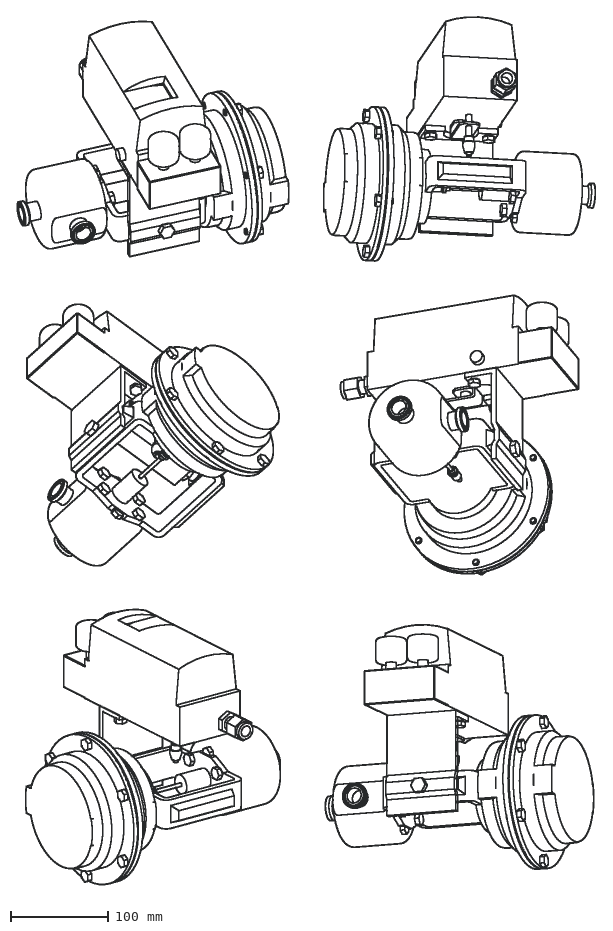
import cadquery as cq
import math


FLANGE_R = 79.3
FLANGE_BACK_Y = 5.1
FLANGE_FRONT_Y = -6.2
PARTING_GAP = 1.0
PARTING_DEPTH = 2.7
CASE_R = 61.7
CASE_END_R = 55.2
CASE_BACK_Y = 40.5
CASE_FRONT_Y = -41.2
CASE_CONE = 6.8
CASE_END_LENGTH = 13.3
CASE_LIP_LENGTH = 2.7
CASE_LIP_DROP = 0.8
PAD_HALF_Z = 15.0
PAD_RIGHT_X = 61.5
NECK_R = 38.2
NECK_FRONT_Y = -54.2

BOLT_COUNT = 6
BOLT_CIRCLE_R = 72.8
NUT_CORNER_R = 6.5
NUT_HEIGHT = 5.0
STUD_R = 3.2
STUD_LENGTH = 2.0
STUD_CHAMFER = 0.8

YOKE_X = (-60.0, 59.8)
YOKE_Y = (-149.7, -47.7)
YOKE_HALF_Z = 16.0
YOKE_WALL = 6.5
YOKE_CORNER_R = 8.5
YOKE_INNER_R = 3.2
RIB_BASE_Y = (-133.8, -55.8)
RIB_BASE_HALF_Z = 9.5
RIB_TAPER = 3.8
RIB_LEFT_HEIGHT = 9.0

STEM_START_Y = NECK_FRONT_Y
STEM_STEPS = [(2.5, -61.7), (4.5, -71.0), (3.5, -72.8), (5.1, -75.5), (3.0, -80.0), (2.0, -112.5),
              (10.5, -149.7)]
BONNET_FLANGE_HALF_X = 32.0
BONNET_FLANGE_HALF_Z = 26.0
BONNET_FLANGE_FLAT_HALF_X = 10.5
BONNET_FLANGE_BACK_Y = -143.2
BONNET_BOLT_X = 24.0
BONNET_BOLT_Z = 13.5
BONNET_BOLT_BACK_Y = -138.4
BODY_BOLT_Z = 26.5
BODY_BOLT_BACK_Y = -144.9
BONNET_HEX_R = 6.8

BODY_R = 42.0
BODY_Y = (-212.0, -149.7)
BODY_FILLET = 6.2
BODY_FLAT_X = 38.7
PORT_TUBE_R = 9.5
PORT_BORE_R = 7.9
PORT_RIM_R = 12.7
PORT_RIM_LENGTH = 4.0
PORT_RIM_TAPER = 2.2
RIM_GROOVE_R = (10.3, 11.0)
RIM_GROOVE_DEPTH = 0.8
OUTLET_LENGTH = 18.1
INLET_LENGTH = 15.0
INLET_Y = -181.7

HOUSING_X = (-70.0, 96.0)
HOUSING_Y = (-137.0, -60.0)
HOUSING_Z = (77.2, 120.8)
COVER_X = (-63.4, 89.5)
COVER_TOP_Y = (-132.7, -63.5)
COVER_EAVE_Z = 159.7
COVER_PEAK_Z = 166.2
WINDOW_X = (38.5, 69.5)
WINDOW_BACK_Y = -88.5
WINDOW_FLARE = 3.5
WINDOW_DIP = 2.5
WINDOW_DIP_FRONT_Y = -103.2
BUTTON_R = 6.5
BUTTON_X = 52.3
BUTTON_Z = 90.7
BUTTON_LENGTH = 6.5

BLOCK_X_END = 133.8
BLOCK_Y = (-138.5, -60.0)
BLOCK_TOP_Z = 113.0
BLOCK_CHAMFER = 0.8
GAUGE_CENTRES = [(113.5, -81.2), (114.3, -116.2)]
GAUGE_R = 16.0
GAUGE_Z = (123.0, 148.5)
GAUGE_FILLET = 3.5
GAUGE_STEM_R = 5.5

GLAND_Y = -120.2
GLAND_Z = 90.5
GLAND_HEX_R = 12.0
GLAND_NECK_R = 7.3
GLAND_TUBE_R = 9.0
GLAND_BORE_R = 5.7
GLAND_LOCKNUT_LENGTH = 5.7
GLAND_NECK_LENGTH = 7.9
GLAND_NUT_LENGTH = 15.2
GLAND_TUBE_LENGTH = 4.0
GLAND_BORE_DEPTH = 16.2

BRACKET_X = (37.5, 72.3)
BRACKET_Y = (-137.8, -61.5)
BRACKET_BOTTOM_Z = -28.0
BRACKET_WALL = 5.7
JOG_STEP = 3.2
JOG_HALF_Z = 6.2
JOG_TOP_Z = 14.0
JOG_BOTTOM_Z = -11.5
BRACKET_BOLT_R = 8.0
BRACKET_BOLT_HEIGHT = 5.7
NOTCH_HALF_WIDTH = 17.3
NOTCH_DEPTH = 24.5
PLATE_BOLT_X = 45.0
PLATE_BOLT_Y = (-129.5, -68.5)
PLATE_BOLT_R = 6.5
PLATE_BOLT_TURN = 20
PLATE_BOLT_WASHER_R = 4.3
PLATE_BOLT_WASHER_HEIGHT = 1.4
PLATE_BOLT_HEAD_HEIGHT = 4.5

LEVER_Y = -97.7
LEVER_HALF_WIDTH = 10.3
LEVER_X = (-20.3, 37.5)
LEVER_TOP_LEG_X = 11.6
LEVER_BOTTOM_Z = 63.5
LEVER_WALL = 2.5
LEVER_BEND_R = 3.0
LEVER_END_CHAMFER = 4.0
LEVER_POST_X = 23.3
LEVER_POST_R = 5.1
PIN_X = -11.5
PIN_TOP_Z = 75.8
PIN_OUTLINE = [(3.0, PIN_TOP_Z), (3.0, 52.3), (5.0, 52.3), (5.0, 46.5), (6.2, 46.5), (6.2, 42.2),
               (4.3, 35.5), (2.5, 35.5), (2.5, 32.5)]


def box(x_range, y_range, z_range):
    size = [high - low for low, high in (x_range, y_range, z_range)]
    corner = (x_range[0], y_range[0], z_range[0])
    return cq.Workplane("XY").box(*size, centered=False).translate(corner)


def cylinder_y(radius, y_range, x=0, z=0):
    low, high = y_range
    return cq.Workplane("XZ", origin=(x, low, z)).circle(radius).extrude(low - high)


def hexagon(corner_radius, first_corner=90):
    """Corners of a hexagon; first_corner is the angle of one corner, in degrees."""
    angles = [math.radians(first_corner + 60 * i) for i in range(6)]
    return [(corner_radius * math.cos(a), corner_radius * math.sin(a)) for a in angles]


def hex_y(corner_radius, y_range, x=0, z=0, first_corner=90):
    low, high = y_range
    outline = cq.Workplane("XZ", origin=(x, low, z))
    return outline.polyline(hexagon(corner_radius, first_corner)).close().extrude(low - high)


def turned_about_y(outline):
    """Solid of revolution about the Y axis from (radius, y) points."""
    points = [(0, outline[0][1])] + outline + [(0, outline[-1][1])]
    return cq.Workplane("XY").polyline(points).close().revolve(360, (0, 0, 0), (0, 1, 0))


def make_actuator():
    half_gap = PARTING_GAP / 2
    back_cone_y = CASE_BACK_Y - CASE_END_LENGTH
    front_cone_y = CASE_FRONT_Y + CASE_END_LENGTH
    lip_r = CASE_END_R - CASE_LIP_DROP
    outline = [
        (lip_r, CASE_BACK_Y),
        (CASE_END_R, CASE_BACK_Y - CASE_LIP_LENGTH),
        (CASE_END_R, back_cone_y),
        (CASE_R, back_cone_y - CASE_CONE),
        (CASE_R, FLANGE_BACK_Y),
        (FLANGE_R, FLANGE_BACK_Y),
        (FLANGE_R, half_gap),
        (FLANGE_R - PARTING_DEPTH, half_gap),
        (FLANGE_R - PARTING_DEPTH, -half_gap),
        (FLANGE_R, -half_gap),
        (FLANGE_R, FLANGE_FRONT_Y),
        (CASE_R, FLANGE_FRONT_Y),
        (CASE_R, front_cone_y + CASE_CONE),
        (CASE_END_R, front_cone_y),
        (CASE_END_R, CASE_FRONT_Y + CASE_LIP_LENGTH),
        (lip_r, CASE_FRONT_Y),
        (NECK_R, CASE_FRONT_Y),
        (NECK_R, NECK_FRONT_Y),
    ]
    actuator = turned_about_y(outline)
    case_y = (CASE_FRONT_Y, CASE_BACK_Y)
    for x_range, radius in (((-CASE_END_R, 0), CASE_END_R), ((0, PAD_RIGHT_X), CASE_R)):
        pad = box(x_range, case_y, (-PAD_HALF_Z, PAD_HALF_Z))
        actuator = actuator.union(pad.intersect(cylinder_y(radius, case_y)))
    for i in range(BOLT_COUNT):
        angle = math.radians(90 + i * 360 / BOLT_COUNT)
        x = BOLT_CIRCLE_R * math.cos(angle)
        z = BOLT_CIRCLE_R * math.sin(angle)
        nut = hex_y(NUT_CORNER_R, (FLANGE_BACK_Y, FLANGE_BACK_Y + NUT_HEIGHT), x, z)
        stud = cylinder_y(STUD_R, (FLANGE_FRONT_Y - STUD_LENGTH, FLANGE_FRONT_Y), x, z)
        stud = stud.faces("<Y").chamfer(STUD_CHAMFER)
        actuator = actuator.union(nut).union(stud)
    return actuator


def make_rib(base_x, tip_x):
    """Tapered rib standing on a yoke side."""
    base_length = RIB_BASE_Y[1] - RIB_BASE_Y[0]
    mid_y = sum(RIB_BASE_Y) / 2
    return (
        cq.Workplane("YZ", origin=(base_x, mid_y, 0))
        .rect(base_length, 2 * RIB_BASE_HALF_Z)
        .workplane(offset=tip_x - base_x)
        .rect(base_length - 2 * RIB_TAPER, 2 * (RIB_BASE_HALF_Z - RIB_TAPER))
        .loft(ruled=True)
    )


def make_yoke():
    z_range = (-YOKE_HALF_Z, YOKE_HALF_Z)
    outer = box(YOKE_X, YOKE_Y, z_range).edges("|Z").fillet(YOKE_CORNER_R)
    inner_x = (YOKE_X[0] + YOKE_WALL, YOKE_X[1] - YOKE_WALL)
    inner_y = (YOKE_Y[0] + YOKE_WALL, YOKE_Y[1] - YOKE_WALL)
    inner = box(inner_x, inner_y, z_range).edges("|Z").fillet(YOKE_INNER_R)
    yoke = outer.cut(inner)
    left_rib = make_rib(YOKE_X[0], YOKE_X[0] - RIB_LEFT_HEIGHT)
    right_rib = make_rib(YOKE_X[1], BRACKET_X[1] - BRACKET_WALL + JOG_STEP)
    return yoke.union(left_rib).union(right_rib)


def make_stem_and_bonnet():
    outline = []
    start_y = STEM_START_Y
    for radius, end_y in STEM_STEPS:
        outline += [(radius, start_y), (radius, end_y)]
        start_y = end_y
    bonnet = turned_about_y(outline)

    corner_x, corner_z = BONNET_FLANGE_HALF_X, YOKE_HALF_Z
    flat_x, flat_z = BONNET_FLANGE_FLAT_HALF_X, BONNET_FLANGE_HALF_Z
    upper = [(corner_x, corner_z), (flat_x, flat_z), (-flat_x, flat_z), (-corner_x, corner_z)]
    lower = [(-x, -z) for x, z in upper]
    flange = cq.Workplane("XZ", origin=(0, BODY_Y[1], 0)).polyline(upper + lower).close()
    flange = flange.extrude(BODY_Y[1] - BONNET_FLANGE_BACK_Y)
    bonnet = bonnet.union(flange)
    bolt_y = (BONNET_FLANGE_BACK_Y, BONNET_BOLT_BACK_Y)
    for side in (-1, 1):
        bonnet = bonnet.union(
            hex_y(BONNET_HEX_R, (BODY_Y[1], BODY_BOLT_BACK_Y), 0, side * BODY_BOLT_Z)
        )
        for x in (-BONNET_BOLT_X, BONNET_BOLT_X):
            bonnet = bonnet.union(
                hex_y(BONNET_HEX_R, bolt_y, x, side * BONNET_BOLT_Z, first_corner=0)
            )
    return bonnet


def make_port(length):
    """Tube with a clamp rim, from Y = 0 to Y = -length."""
    rim_start = PORT_RIM_LENGTH - length
    outline = [
        (PORT_TUBE_R, 0),
        (PORT_TUBE_R, rim_start + PORT_RIM_TAPER),
        (PORT_RIM_R, rim_start),
        (PORT_RIM_R, -length),
    ]
    groove_y = (-length, RIM_GROOVE_DEPTH - length)
    groove = cylinder_y(RIM_GROOVE_R[1], groove_y).cut(cylinder_y(RIM_GROOVE_R[0], groove_y))
    bore = cylinder_y(PORT_BORE_R, (-length, 0))
    return turned_about_y(outline).cut(groove).cut(bore)


def make_valve_body():
    body = cylinder_y(BODY_R, BODY_Y).edges().fillet(BODY_FILLET)
    body = body.cut(box((BODY_FLAT_X, BODY_R), BODY_Y, (-BODY_R, BODY_R)))
    outlet = make_port(OUTLET_LENGTH).translate((0, BODY_Y[0], 0))
    inlet = make_port(INLET_LENGTH).rotate((0, 0, 0), (0, 0, 1), 90)
    return body.union(outlet).union(inlet.translate((BODY_FLAT_X, INLET_Y, 0)))


def make_housing():
    housing = box(HOUSING_X, HOUSING_Y, HOUSING_Z)
    cover = (
        cq.Workplane("YZ", origin=(COVER_X[0], 0, 0))
        .moveTo(HOUSING_Y[0], HOUSING_Z[1])
        .lineTo(COVER_TOP_Y[0], COVER_EAVE_Z)
        .threePointArc((sum(COVER_TOP_Y) / 2, COVER_PEAK_Z), (COVER_TOP_Y[1], COVER_EAVE_Z))
        .lineTo(HOUSING_Y[1], HOUSING_Z[1])
        .close()
        .extrude(COVER_X[1] - COVER_X[0])
    )
    width = WINDOW_X[1] - WINDOW_X[0]
    depth = WINDOW_BACK_Y - HOUSING_Y[0]
    mid_y = WINDOW_BACK_Y - depth / 2
    window = (
        cq.Workplane("XY", origin=(sum(WINDOW_X) / 2, mid_y, COVER_EAVE_Z))
        .rect(width, depth)
        .workplane(offset=COVER_PEAK_Z - COVER_EAVE_Z)
        .rect(width + 2 * WINDOW_FLARE, depth + 2 * WINDOW_FLARE)
        .loft(ruled=True)
    )
    dip = (
        cq.Workplane("YZ", origin=(WINDOW_X[0], 0, 0))
        .moveTo(WINDOW_DIP_FRONT_Y, COVER_EAVE_Z)
        .lineTo(WINDOW_BACK_Y, COVER_EAVE_Z)
        .lineTo(WINDOW_BACK_Y, COVER_EAVE_Z - WINDOW_DIP)
        .close()
        .extrude(width)
    )
    cover = cover.cut(window).cut(dip)
    button = cylinder_y(BUTTON_R, (HOUSING_Y[0] - BUTTON_LENGTH, HOUSING_Y[0]), BUTTON_X, BUTTON_Z)
    return housing.union(cover).union(button)


def make_gauge_block():
    block = box((HOUSING_X[1], BLOCK_X_END), BLOCK_Y, (HOUSING_Z[0], BLOCK_TOP_Z))
    block = block.edges("(not <X) or (<X and <Y)").chamfer(BLOCK_CHAMFER)
    for x, y in GAUGE_CENTRES:
        stem = cq.Workplane("XY", origin=(x, y, BLOCK_TOP_Z)).circle(GAUGE_STEM_R)
        stem = stem.extrude(GAUGE_Z[0] - BLOCK_TOP_Z)
        dial = cq.Workplane("XY", origin=(x, y, GAUGE_Z[0])).circle(GAUGE_R)
        dial = dial.extrude(GAUGE_Z[1] - GAUGE_Z[0]).edges().fillet(GAUGE_FILLET)
        block = block.union(stem).union(dial)
    return block


def make_gland():
    gland = cq.Workplane("YZ", origin=(HOUSING_X[0], GLAND_Y, GLAND_Z))
    gland = gland.polyline(hexagon(GLAND_HEX_R)).close().extrude(-GLAND_LOCKNUT_LENGTH)
    gland = gland.faces("<X").workplane().circle(GLAND_NECK_R).extrude(GLAND_NECK_LENGTH)
    gland = gland.faces("<X").workplane().polyline(hexagon(GLAND_HEX_R)).close()
    gland = gland.extrude(GLAND_NUT_LENGTH)
    gland = gland.faces("<X").workplane().circle(GLAND_TUBE_R).extrude(GLAND_TUBE_LENGTH)
    return gland.faces("<X").workplane().circle(GLAND_BORE_R).cutBlind(-GLAND_BORE_DEPTH)


def make_bracket():
    top_z = HOUSING_Z[0]
    outer_x = BRACKET_X[1]
    inner_x = outer_x - BRACKET_WALL
    jog = [(0, JOG_BOTTOM_Z), (JOG_STEP, -JOG_HALF_Z), (JOG_STEP, JOG_HALF_Z), (0, JOG_TOP_Z)]
    outline = [(BRACKET_X[0], top_z), (outer_x, top_z)]
    outline += [(outer_x + step, z) for step, z in reversed(jog)]
    outline += [(outer_x, BRACKET_BOTTOM_Z), (inner_x, BRACKET_BOTTOM_Z)]
    outline += [(inner_x + step, z) for step, z in jog]
    outline += [(inner_x, top_z - BRACKET_WALL), (BRACKET_X[0], top_z - BRACKET_WALL)]
    bracket = cq.Workplane("XZ", origin=(0, BRACKET_Y[0], 0)).polyline(outline).close()
    bracket = bracket.extrude(BRACKET_Y[0] - BRACKET_Y[1])

    mid_y = sum(BRACKET_Y) / 2
    straight = NOTCH_DEPTH - NOTCH_HALF_WIDTH
    notch_z = (top_z - BRACKET_WALL, top_z)
    notch = box(
        (BRACKET_X[0], BRACKET_X[0] + straight),
        (mid_y - NOTCH_HALF_WIDTH, mid_y + NOTCH_HALF_WIDTH),
        notch_z,
    )
    notch_end = cq.Workplane("XY", origin=(BRACKET_X[0] + straight, mid_y, notch_z[0]))
    notch_end = notch_end.circle(NOTCH_HALF_WIDTH).extrude(BRACKET_WALL)
    bracket = bracket.cut(notch).cut(notch_end)

    side_bolt = cq.Workplane("YZ", origin=(outer_x + JOG_STEP, mid_y, 0))
    side_bolt = side_bolt.polyline(hexagon(BRACKET_BOLT_R, first_corner=0)).close()
    side_bolt = side_bolt.extrude(BRACKET_BOLT_HEIGHT)
    bracket = bracket.union(side_bolt)
    for y in PLATE_BOLT_Y:
        washer = cq.Workplane("XY", origin=(PLATE_BOLT_X, y, notch_z[0]))
        washer = washer.circle(PLATE_BOLT_WASHER_R).extrude(-PLATE_BOLT_WASHER_HEIGHT)
        head = washer.faces("<Z").workplane(centerOption="CenterOfMass")
        head = head.polyline(hexagon(PLATE_BOLT_R, PLATE_BOLT_TURN)).close()
        head = head.extrude(PLATE_BOLT_HEAD_HEIGHT)
        bracket = bracket.union(head)
    return bracket


def make_lever():
    """Strip bent into a U that hangs from the housing, with a post and the feedback pin."""
    y_range = (LEVER_Y - LEVER_HALF_WIDTH, LEVER_Y + LEVER_HALF_WIDTH)
    top_z = HOUSING_Z[0]
    lever = box(LEVER_X, y_range, (LEVER_BOTTOM_Z, top_z)).edges("|Y and >X").fillet(LEVER_BEND_R)
    gap_z = (LEVER_BOTTOM_Z + LEVER_WALL, top_z - LEVER_WALL)
    gap = box((LEVER_X[0], LEVER_X[1] - LEVER_WALL), y_range, gap_z)
    lever = lever.cut(gap.edges("|Y and >X").fillet(LEVER_BEND_R))
    lever = lever.cut(box((LEVER_X[0], LEVER_TOP_LEG_X), y_range, (gap_z[1], top_z)))
    free_corners = lever.edges("|Z").filter(lambda edge: edge.Center().x < LEVER_POST_X)
    lever = free_corners.chamfer(LEVER_END_CHAMFER)
    post = cq.Workplane("XY", origin=(LEVER_POST_X, LEVER_Y, LEVER_BOTTOM_Z))
    lever = lever.union(post.circle(LEVER_POST_R).extrude(top_z - LEVER_BOTTOM_Z))

    outline = [(0, PIN_OUTLINE[0][1])] + PIN_OUTLINE + [(0, PIN_OUTLINE[-1][1])]
    pin = cq.Workplane("XZ").polyline(outline).close().revolve(360, (0, 0, 0), (0, 1, 0))
    return lever.union(pin.translate((PIN_X, LEVER_Y, 0)))


result = make_actuator()
for component in (
    make_yoke(),
    make_stem_and_bonnet(),
    make_valve_body(),
    make_housing(),
    make_gauge_block(),
    make_gland(),
    make_bracket(),
    make_lever(),
):
    result = result.union(component)